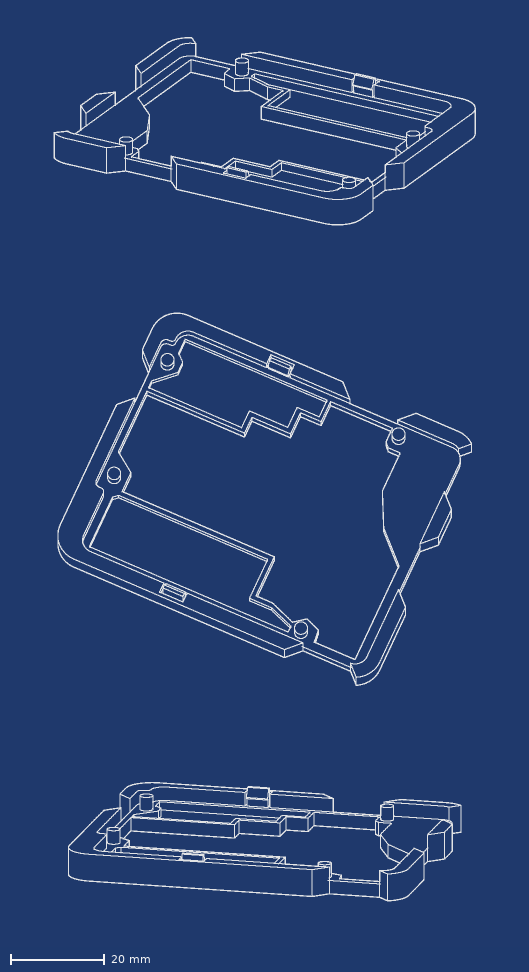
import cadquery as cq


board_width = 53.34
board_tail_length = 66.04
board_full_length = 68.6
board_clearance = 0.3
board_corner_radius = 2.54

platform_height = 3.0
wall_height = 6.0
pocket_floor = 1.2
snap_height = 7.0

wall_thickness = 3.0
cavity_left = -board_clearance
cavity_bottom = -board_clearance
cavity_top = board_width + board_clearance
cavity_right = board_full_length + board_clearance
cavity_tail = board_tail_length + board_clearance
cavity_corner_radius = board_corner_radius + board_clearance
wall_corner_radius = cavity_corner_radius + wall_thickness
shoulder_bottom = 3.5
shoulder_top = 39.7
shoulder_outer_radius = 1.3
shoulder_inner_radius = 0.8

port_gap_width = 11.2
left_gap_centres = (28.7, 4.67)
top_gap_centre = 7.9
bottom_gap_centre = 21.05
right_gap_centre = 14.5
right_gap_width = 7.5
gap_overrun = 1.0
gap_inner_reach = 1.5

pin_diameter = 2.8
pin_height = 3.0
pin_centres = [(13.97, 2.54), (15.24, 50.8), (66.04, 7.62), (66.04, 35.56)]

snap_centre_x = 43.5
snap_width = 4.7
snap_slot_width = 5.5
snap_slot_depth = 2.2
snap_back = 1.35
snap_tip = 0.6
snap_overhang = 0.35
snap_hook_height = 5.0
snap_hook_underside = snap_hook_height - snap_overhang

window_left = 2.17
window_right = 67.56
window_outline = [
    (window_left, 51.64),
    (11.75, 51.64),
    (12.02, 48.82),
    (15.3, 47.53),
    (17.85, 49.5),
    (23.5, 47.3),
    (27.4, 47.3),
    (27.4, 37.7),
    (63.2, 37.7),
    (63.2, 33.05),
    (window_right, 29.9),
    (window_right, 15.03),
    (44.58, 15.03),
    (44.58, 11.15),
    (35.5, 11.15),
    (35.5, 5.95),
    (30.63, 5.95),
    (30.63, 1.02),
    (16.1, 1.02),
    (16.1, 4.36),
    (15.1, 5.4),
    (12.3, 5.4),
    (12.3, 14.7),
    (8.65, 22.15),
    (window_left, 28.6),
]

upper_pocket_outline = [
    (17.77, 51.9),
    (64.55, 51.9),
    (64.55, 39.74),
    (63.5, 38.83),
    (28.44, 38.83),
    (28.44, 48.4),
    (23.24, 48.4),
    (17.77, 50.46),
]

lower_pocket_outline = [
    (31.45, 1.02),
    (64.83, 1.02),
    (64.83, 4.44),
    (63.2, 5.95),
    (63.2, 8.46),
    (window_right, 12.5),
    (window_right, 14.15),
    (45.67, 14.15),
    (45.67, 10.05),
    (36.65, 10.05),
    (36.65, 5.13),
    (31.45, 5.13),
]


def prism(points, bottom, top):
    """Upright prism over a closed outline."""
    return cq.Workplane("XY").workplane(offset=bottom).polyline(points).close().extrude(top - bottom)


def block(x_min, x_max, y_min, y_max, bottom, top):
    """Upright rectangular block."""
    corners = [(x_min, y_min), (x_max, y_min), (x_max, y_max), (x_min, y_max)]
    return prism(corners, bottom, top)


def round_edges_at(body, points, radius):
    """Round the vertical edges of a body that stand at the given XY points."""
    reach = 0.05
    for x, y in points:
        box = cq.selectors.BoxSelector((x - reach, y - reach, -1), (x + reach, y + reach, wall_height + 1))
        body = body.edges("|Z").edges(box).fillet(radius)
    return body


def make_cavity(height):
    """Board outline with clearance, wider between its two right-hand shoulders."""
    corners = [
        (cavity_left, cavity_bottom),
        (cavity_tail, cavity_bottom),
        (cavity_tail, cavity_top),
        (cavity_left, cavity_top),
    ]
    shoulder_ends = (shoulder_bottom, shoulder_top)
    body = block(cavity_left, cavity_tail, cavity_bottom, cavity_top, 0, height)
    body = body.union(block(0, cavity_right, shoulder_bottom, shoulder_top, 0, height))
    body = round_edges_at(body, corners, cavity_corner_radius)
    body = round_edges_at(body, [(cavity_right, y) for y in shoulder_ends], shoulder_outer_radius)
    return round_edges_at(body, [(cavity_tail, y) for y in shoulder_ends], shoulder_inner_radius)


def make_gap(x, y, angle, width):
    """Cutter for a rim gap that flares at 45 degrees, facing outward along the angle."""
    depth = wall_thickness + gap_overrun
    inner_half = width / 2 - gap_inner_reach
    outer_half = width / 2 + depth
    points = [
        (-gap_inner_reach, -inner_half),
        (depth, -outer_half),
        (depth, outer_half),
        (-gap_inner_reach, inner_half),
    ]
    return prism(points, 0, wall_height).rotate((0, 0, 0), (0, 0, 1), angle).translate((x, y, 0))


def make_rim():
    """Rounded wall around the cavity, interrupted by flared gaps."""
    rim = block(
        cavity_left - wall_thickness,
        cavity_right + wall_thickness,
        cavity_bottom - wall_thickness,
        cavity_top + wall_thickness,
        0,
        wall_height,
    )
    rim = rim.edges("|Z").fillet(wall_corner_radius)
    for y in left_gap_centres:
        rim = rim.cut(make_gap(cavity_left, y, 180, port_gap_width))
    rim = rim.cut(make_gap(top_gap_centre, cavity_top, 90, port_gap_width))
    rim = rim.cut(make_gap(bottom_gap_centre, cavity_bottom, -90, port_gap_width))
    rim = rim.cut(make_gap(cavity_right, right_gap_centre, 0, right_gap_width))
    return rim.cut(make_cavity(wall_height))


def make_platform():
    """Board support inside the rim, with a window and two shallow pockets."""
    platform = make_cavity(platform_height)
    platform = platform.cut(prism(window_outline, 0, platform_height))
    for outline in (upper_pocket_outline, lower_pocket_outline):
        platform = platform.cut(prism(outline, pocket_floor, platform_height))
    return platform


def make_snap_slot():
    """Cutter for the clearance around the snap hook on the top wall."""
    half = snap_slot_width / 2
    return block(
        snap_centre_x - half,
        snap_centre_x + half,
        cavity_top,
        cavity_top + snap_slot_depth,
        platform_height,
        wall_height,
    )


def make_snap():
    """Hook on the top wall: upright arm with a sloped lead-in over the board edge."""
    profile = [
        (cavity_top, 0),
        (cavity_top + snap_back, 0),
        (cavity_top + snap_back, snap_height),
        (cavity_top + snap_tip, snap_height),
        (cavity_top - snap_overhang, snap_hook_height),
        (cavity_top, snap_hook_underside),
    ]
    start = snap_centre_x - snap_width / 2
    return cq.Workplane("YZ").workplane(offset=start).polyline(profile).close().extrude(snap_width)


def mirror_to_bottom_wall(body):
    """Copy of a top wall feature on the bottom wall."""
    return body.mirror("XZ", (0, board_width / 2, 0))


def make_pins():
    """Locating pins standing on the platform."""
    pins = cq.Workplane("XY").workplane(offset=platform_height).pushPoints(pin_centres)
    return pins.circle(pin_diameter / 2).extrude(pin_height)


slot = make_snap_slot()
snap = make_snap()

result = make_rim().union(make_platform())
result = result.cut(slot).cut(mirror_to_bottom_wall(slot))
result = result.union(snap).union(mirror_to_bottom_wall(snap))
result = result.union(make_pins())